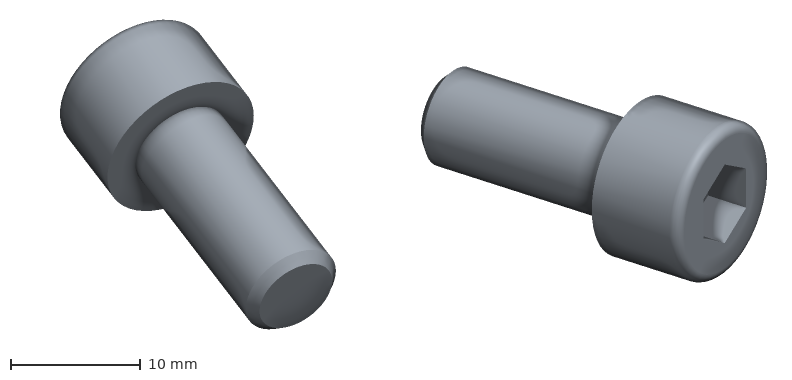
import cadquery as cq
import math

total_length = 26.0
head_diameter = 13.0
head_length = 8.0
head_edge_radius = 0.8
shank_diameter = 8.0
tip_chamfer = 0.78
socket_across_flats = 6.0
socket_depth = 3.54


def make_head():
    """Cylindrical head with a rounded outer edge on its free face."""
    head = cq.Workplane("YZ").circle(head_diameter / 2).extrude(head_length)
    return head.faces("<X").edges().fillet(head_edge_radius)


def make_shank():
    """Plain shank from the bearing face to a chamfered tip."""
    shank = (
        cq.Workplane("YZ", origin=(head_length, 0, 0))
        .circle(shank_diameter / 2)
        .extrude(total_length - head_length)
    )
    return shank.faces(">X").edges().chamfer(tip_chamfer)


def make_socket():
    """Hexagonal drive recess with corners pointing along +Z and -Z."""
    across_corners = socket_across_flats / math.cos(math.pi / 6)
    return (
        cq.Workplane("YZ")
        .transformed(rotate=(0, 0, 90))
        .polygon(6, across_corners)
        .extrude(socket_depth)
    )


result = make_head().union(make_shank()).cut(make_socket())